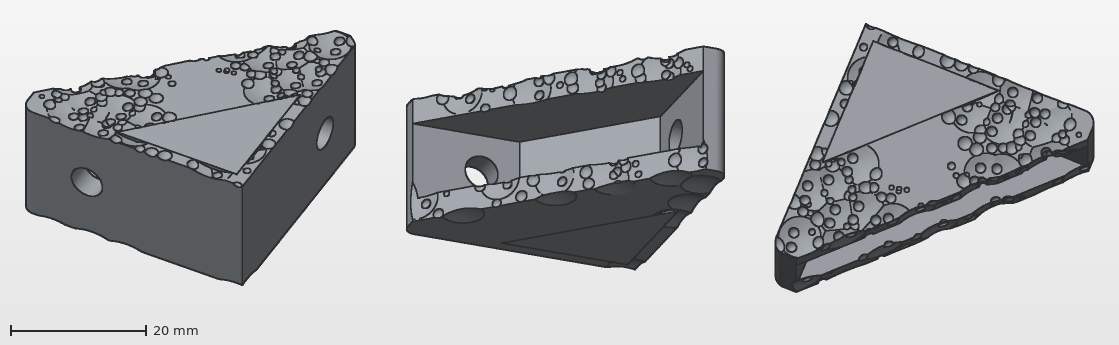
import cadquery as cq
WIDTH = 37.0
DEPTH = 37.05
HEIGHT = 20.0
WALL = 4.0
TIP_RADIUS = 2.0
HOLE_DIAMETER = 5.2
HOLE_SETBACK = 11.0
BLOCK_MARGIN = 2.0
BLOCK_LEG = 20.0

BASIN_RADIUS = 3.15
BASIN_DEPTH = 0.63
BOWL_DEPTH = 0.52
PIT_ASPECT = 0.6
FLOOR_PIT_RADIUS = 0.78
FLOOR_PIT_SINK = 0.3

PLAIN = []
LOWER = [(1.0, -0.63)]
PAIR = [(1.0, 1.55), *LOWER]
TURNED_LOWER = [(1.07, -0.4)]
TURNED_PAIR = [(0.6, 1.78), *TURNED_LOWER]

TOP_FACE = cq.Plane(origin=(0, 0, HEIGHT), xDir=(1, 0, 0), normal=(0, 0, 1))
BOTTOM_FACE = cq.Plane(origin=(0, 0, 0), xDir=(1, 0, 0), normal=(0, 0, -1))
SLOPE_FACE = cq.Plane(origin=(WIDTH - WALL, DEPTH, 0), xDir=(-1, -1, 0), normal=(-1, 1, 0))

TOP_BASINS = [
    (33.78, 33.78, TURNED_PAIR), (27.5, 32.05, PAIR), (29.52, 28.45, PAIR), (23.37, 27.7, PAIR),
    (21.75, 26.75, PAIR), (26.52, 26.67, PAIR), (34.6, 26.4, TURNED_PAIR), (32.15, 24.65, LOWER),
    (30.08, 20.22, PAIR), (12.05, 14.5, PAIR), (9.75, 13.7, PAIR), (3.93, 8.65, PAIR),
    (12.6, 6.5, PAIR), (17.37, 6.55, PAIR), (7.1, 4.93, PAIR), (11.75, 4.65, LOWER),
    (17.37, 3.3, PAIR), (6.3, 3.0, TURNED_LOWER), (8.22, 1.22, TURNED_PAIR),
    (11.9, 1.78, TURNED_PAIR), (33.5, 7.4, PAIR), (31.2, 1.37, TURNED_PAIR),
]
SLOPE_BASINS = [
    (8.0, 19.25, PAIR), (19.1, 17.78, PAIR), (28.8, 18.05, PAIR), (29.1, 17.1, PAIR), (39.45, 17.37, PAIR),
    (40.0, 16.9, PAIR), (0.93, 3.4, PAIR), (14.0, 4.2, PAIR), (22.78, 3.0, PAIR), (31.1, 2.6, PAIR),
    (31.6, 0.75, PAIR), (45.4, 1.93, PAIR),
]
BOTTOM_BASINS = [
    (5.2, -2.22, PLAIN), (11.85, -1.5, PLAIN), (17.6, -1.65, PLAIN), (35.93, -1.5, PLAIN),
    (27.78, -31.1, PLAIN), (17.05, -20.75, PLAIN), (10.37, -14.08, PLAIN), (4.45, -7.4, PLAIN),
]

TOP_BOWLS = [
    (36.3, 36.15, 1.2), (31.1, 33.5, 0.95), (32.25, 30.22, 1.1), (36.52, 29.0, 1.2), (27.0, 28.9, 0.95),
    (29.52, 25.05, 1.0), (27.65, 23.1, 0.95), (27.1, 20.6, 1.0), (33.35, 21.95, 1.1), (36.23, 21.08, 1.1),
    (14.5, 16.65, 1.1), (14.63, 11.55, 1.0), (16.55, 11.35, 1.05), (14.9, 9.6, 0.95), (15.3, 8.45, 0.95),
    (14.8, 7.0, 0.75), (9.93, 9.4, 0.95), (9.25, 7.78, 0.9), (9.93, 6.93, 0.95), (3.2, 5.35, 0.78),
    (4.45, 5.4, 0.85), (3.45, 2.8, 1.0), (5.6, 0.3, 0.95), (15.65, 0.65, 0.93), (14.5, 3.15, 0.9),
    (14.45, 4.52, 0.8), (9.4, 5.1, 0.75), (20.22, 8.45, 1.1), (21.6, 0.37, 1.0), (23.67, 0.65, 1.07),
    (28.37, 0.95, 1.0), (36.37, 15.3, 1.2), (35.95, 10.1, 1.07), (7.25, 10.37, 1.05),
]
SLOPE_BOWLS = [
    (4.93, 19.25, 1.05), (15.7, 18.05, 1.1), (21.75, 19.35, 1.07), (25.52, 18.6, 1.1), (25.78, 17.1, 0.95),
    (31.7, 18.65, 0.95), (36.25, 17.93, 1.1), (36.7, 16.75, 0.95), (42.52, 18.05, 0.95), (41.75, 19.08, 0.95),
    (10.9, 3.8, 0.9), (19.45, 3.22, 1.05), (27.93, 2.93, 1.05), (28.35, 1.05, 0.95), (34.08, 2.65, 1.0),
    (33.75, 3.75, 0.9), (42.23, 2.25, 1.1),
]
TOP_PITS = [
    (34.78, 29.95, 0.78), (35.8, 22.7, 0.78), (23.55, 23.22, 0.75), (24.9, 23.6, 0.75), (26.52, 22.65, 0.75),
    (35.35, 20.37, 0.55), (17.1, 15.3, 0.55), (14.37, 15.6, 0.52), (12.6, 10.52, 0.78), (11.07, 9.85, 0.75),
    (9.15, 8.9, 0.6), (8.5, 3.0, 0.7), (35.95, 3.4, 0.55), (36.2, -0.22, 0.75),
    (35.25, 12.45, 0.65), (19.7, 0.3, 0.75),
    (22.95, 21.45, 0.37), (21.85, 21.15, 0.37), (22.9, 21.78, 0.37), (24.08, 21.65, 0.37), (1.5, 3.78, 0.37),
    (15.93, 16.37, 0.4), (8.05, 10.1, 0.4), (33.7, 29.78, 0.45), (35.55, 8.95, 0.45), (13.08, 16.0, 0.6),
]
SLOPE_PITS = [
    (12.8, 19.25, 0.4), (11.65, 16.3, 0.75), (23.67, 17.93, 0.52), (33.3, 18.2, 0.5), (33.75, 17.08, 0.5),
    (44.05, 17.5, 0.45), (44.55, 16.75, 0.45), (35.8, 2.8, 0.52), (36.25, 1.05, 0.52), (4.15, 0.5, 0.8),
    (13.52, 0.5, 0.7), (17.5, 0.9, 0.9), (5.5, 3.55, 0.45),
]
TOP_SUNKEN_PITS = [
    (32.45, 32.3, 0.5), (31.75, 26.85, 0.52), (29.37, 24.08, 0.6), (28.0, 29.52, 0.52), (32.45, 20.8, 0.55),
    (34.15, 21.7, 0.52), (33.8, 20.8, 0.5), (30.37, 22.85, 0.6), (3.78, 4.52, 0.6), (16.9, 4.93, 0.4),
    (34.6, 28.6, 0.5), (12.63, 3.22, 0.75), (9.55, 3.7, 0.5), (28.85, 25.1, 0.6), (33.0, 26.05, 0.55),
]

GROUP_SIZE = 12


def ball(face, u, v, height, radius):
    """Sphere at (u, v) on a face, its centre raised by height along the normal."""
    centre = face.toWorldCoords((u, v, height))
    return cq.Solid.makeSphere(radius, centre, cq.Vector(0, 0, 1), -90, 90, 360)


def dish(face, u, v, opening, depth):
    """Sphere that cuts a dish of the given opening radius and depth."""
    radius = (opening ** 2 + depth ** 2) / (2 * depth)
    return ball(face, u, v, radius - depth, radius)


def basin(face, u, v, floor_pits):
    """Large shallow crater with pits in its floor."""
    pits = [ball(face, u + du, v + dv, -FLOOR_PIT_SINK, FLOOR_PIT_RADIUS) for du, dv in floor_pits]
    return [dish(face, u, v, BASIN_RADIUS, BASIN_DEPTH), *pits]


def craters(face, basins, bowls, pits, sunken_pits):
    """All the spheres that cut the craters of one face."""
    cutters = []
    for u, v, floor_pits in basins:
        cutters.extend(basin(face, u, v, floor_pits))
    for u, v, opening in bowls:
        cutters.append(dish(face, u, v, opening, BOWL_DEPTH))
    for u, v, opening in pits:
        cutters.append(dish(face, u, v, opening, PIT_ASPECT * opening))
    for u, v, radius in sunken_pits:
        cutters.append(ball(face, u, v, -FLOOR_PIT_SINK, radius))
    return cutters


def cut_in_groups(solid, cutters):
    """Cut a few spheres at a time, which is quicker than one by one or all at once."""
    for first in range(0, len(cutters), GROUP_SIZE):
        solid = solid.cut(*cutters[first:first + GROUP_SIZE])
    return solid


def make_block():
    """Triangular prism that fills the right-angled corner."""
    right = WIDTH - BLOCK_MARGIN
    return (
        cq.Workplane("XY")
        .moveTo(right, BLOCK_MARGIN)
        .lineTo(right, BLOCK_MARGIN + BLOCK_LEG)
        .lineTo(right - BLOCK_LEG, BLOCK_MARGIN)
        .close()
        .extrude(HEIGHT)
    )


def make_bracket(block):
    """Cratered corner bracket with two walls, two plates and an opening for the block."""
    body = (
        cq.Workplane("XY")
        .polyline([(0, 0), (WIDTH, 0), (WIDTH, DEPTH), (WIDTH - WALL, DEPTH), (0, WALL)])
        .close()
        .extrude(HEIGHT)
    )
    body = body.edges(cq.selectors.NearestToPointSelector((0, 0, HEIGHT / 2))).fillet(TIP_RADIUS)
    body = body.edges(cq.selectors.NearestToPointSelector((WIDTH, DEPTH, HEIGHT / 2))).fillet(TIP_RADIUS)

    cavity = (
        cq.Workplane("XY")
        .workplane(offset=WALL)
        .polyline([(0, WALL), (WIDTH - WALL, WALL), (WIDTH - WALL, DEPTH), (0, DEPTH)])
        .close()
        .extrude(HEIGHT - 2 * WALL)
    )
    body = body.cut(cavity)

    hole_radius = HOLE_DIAMETER / 2
    front_hole = cq.Solid.makeCylinder(
        hole_radius, WALL, cq.Vector(HOLE_SETBACK, 0, HEIGHT / 2), cq.Vector(0, 1, 0)
    )
    side_hole = cq.Solid.makeCylinder(
        hole_radius, WALL, cq.Vector(WIDTH, DEPTH - HOLE_SETBACK, HEIGHT / 2), cq.Vector(-1, 0, 0)
    )
    body = body.cut(cq.Workplane(front_hole)).cut(cq.Workplane(side_hole))

    solid = body.cut(block).val()

    cutters = craters(TOP_FACE, TOP_BASINS, TOP_BOWLS, TOP_PITS, TOP_SUNKEN_PITS)
    cutters += craters(SLOPE_FACE, SLOPE_BASINS, SLOPE_BOWLS, SLOPE_PITS, [])
    cutters += craters(BOTTOM_FACE, BOTTOM_BASINS, [], [], [])
    return cut_in_groups(solid, cutters)


block = make_block()
bracket = make_bracket(block)
result = cq.Compound.makeCompound([*bracket.Solids(), block.val()])